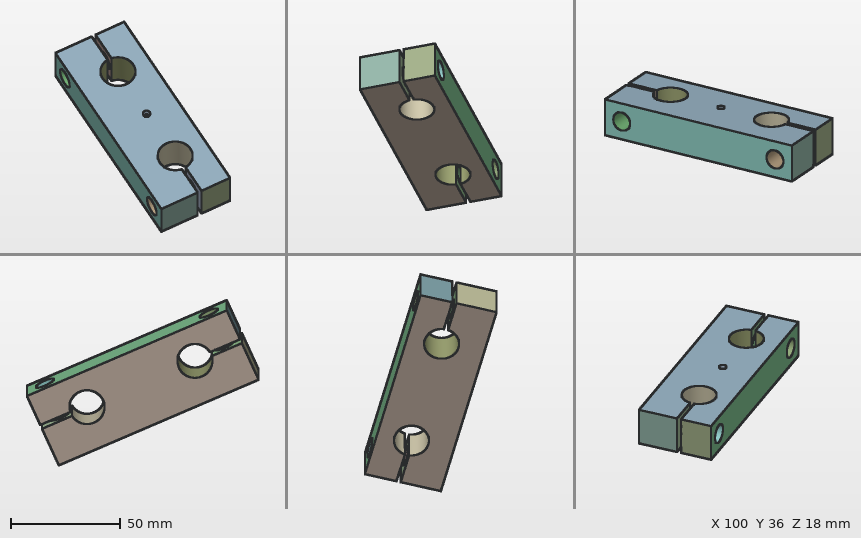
import cadquery as cq
import math

length = 100.0
width = 36.0
height = 18.0

bore_diameter = 16.0
bore_spacing = 54.0
bore_line_y = 2.0
slot_width = 2.0

screw_diameter = 9.0
screw_spacing = 82.0

countersink_diameter = 3.4
countersink_angle = 60.0
pilot_diameter = 1.6
pilot_length = 2.0
drill_tip_angle = 120.0


def clamp_opening():
    """Rod bore on the +X side and the slot from it out to the block end."""
    bore_x = bore_spacing / 2
    slot_length = length / 2 - bore_x
    bore = cq.Workplane("XY").center(bore_x, bore_line_y).circle(bore_diameter / 2).extrude(height)
    slot = (
        cq.Workplane("XY")
        .center(bore_x + slot_length / 2, bore_line_y)
        .rect(slot_length, slot_width)
        .extrude(height)
    )
    return bore.union(slot)


def screw_hole():
    """Screw hole on the +X side through the full width, centred in the block height."""
    return (
        cq.Workplane("XZ", origin=(screw_spacing / 2, 0, height / 2))
        .circle(screw_diameter / 2)
        .extrude(width / 2, both=True)
    )


def cone_depth(radius_change, included_angle):
    """Axial length of a cone over the given change in radius."""
    return radius_change / math.tan(math.radians(included_angle / 2))


def centre_hole():
    """Centre-drilled hole in the top face."""
    outer_radius = countersink_diameter / 2
    pilot_radius = pilot_diameter / 2
    pilot_top = height - cone_depth(outer_radius - pilot_radius, countersink_angle)
    pilot_bottom = pilot_top - pilot_length
    tip_z = pilot_bottom - cone_depth(pilot_radius, drill_tip_angle)
    profile = [
        (0, height),
        (outer_radius, height),
        (pilot_radius, pilot_top),
        (pilot_radius, pilot_bottom),
        (0, tip_z),
    ]
    return (
        cq.Workplane("XZ", origin=(0, bore_line_y, 0))
        .polyline(profile)
        .close()
        .revolve(360, (0, 0), (0, 1))
    )


result = cq.Workplane("XY").box(length, width, height, centered=(True, True, False))
for opening in (clamp_opening(), screw_hole()):
    result = result.cut(opening).cut(opening.mirror("YZ"))
result = result.cut(centre_hole())